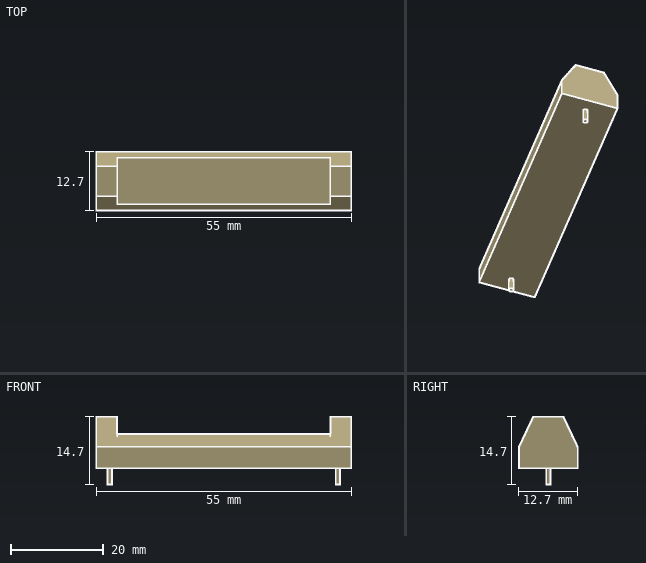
import cadquery as cq

length = 55.0
width = 12.7
total_height = 14.7
pin_length = 3.5
body_height = total_height - pin_length
shoulder_height = 4.6
top_width = 6.5

end_thickness = 4.5
rim_height = 7.4
floor_thickness = 1.0
tray_length = length - 2 * end_thickness

pin_diameter = 1.0
pin_inset = 2.9

slope_fraction = (rim_height - shoulder_height) / (body_height - shoulder_height)
tray_width = width - slope_fraction * (width - top_width)


def make_housing():
    """Extrude the end profile along X, with its base on Z = 0."""
    profile = [
        (-width / 2, 0),
        (width / 2, 0),
        (width / 2, shoulder_height),
        (top_width / 2, body_height),
        (-top_width / 2, body_height),
        (-width / 2, shoulder_height),
    ]
    return cq.Workplane("YZ").polyline(profile).close().extrude(length / 2, both=True)


def make_tray_cut():
    """Box that hollows the tray and removes everything above its rim."""
    return (
        cq.Workplane("XY")
        .workplane(offset=floor_thickness)
        .rect(tray_length, tray_width)
        .extrude(body_height - floor_thickness)
    )


def make_pins():
    """Two round pins pointing down from the base."""
    pin_x = length / 2 - pin_inset
    return (
        cq.Workplane("XY")
        .pushPoints([(-pin_x, 0), (pin_x, 0)])
        .circle(pin_diameter / 2)
        .extrude(-pin_length)
    )


result = make_housing().cut(make_tray_cut()).union(make_pins())